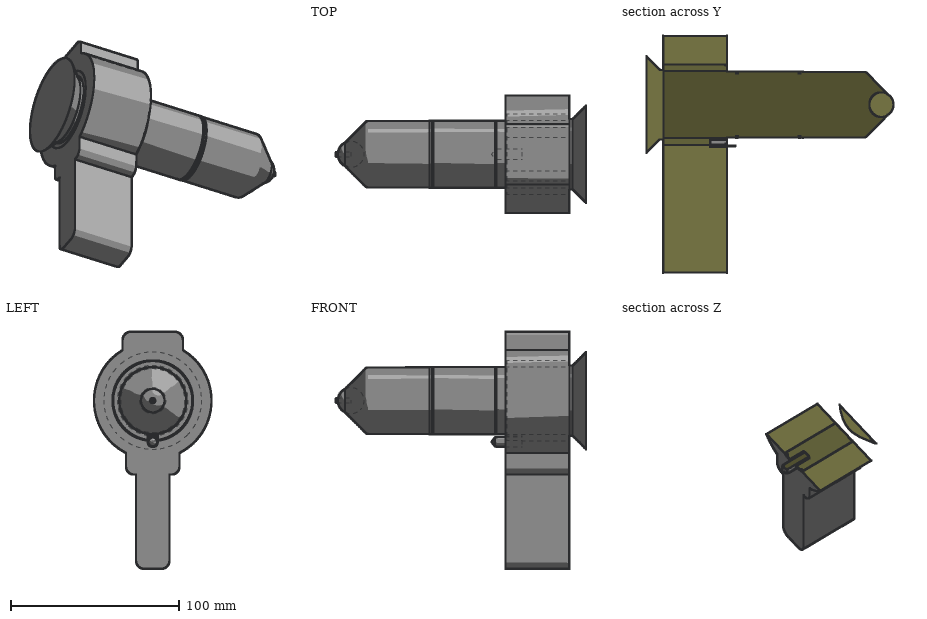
import cadquery as cq


handle_thickness = 38.0
hub_diameter = 70.0
upper_tab_width = 36.0
upper_tab_top = 41.0
lower_tab_width = 32.0
lower_tab_bottom = -44.0
lever_width = 20.0
lever_bottom = -100.0
corner_radius = 5.0
bore_diameter = 48.0

bush_front_diameter = 47.0
bush_gap_depth = 1.0

spigot_diameter = 40.0
spigot_front_diameter = 39.7
spigot_step_x = -45.0
nose_shoulder_x = -82.4
nose_shoulder_fillet = 2.0

ring_groove_diameter = 38.0
ring_width = 0.9
ring_front_positions = (-43.5, -6.2)

ball_diameter = 15.6
ball_center_x = -91.8

needle_diameter = 3.0
needle_tip_x = -101.0
needle_rear_x = ball_center_x
needle_chamfer = 0.75

pin_diameter = 6.0
pin_axis_z = -24.5
pin_tip_x = -8.2
pin_point_base_x = -6.2
pin_point_base_diameter = 5.3
pin_taper_end_x = -4.9
pin_rear_x = 10.0
pin_slot_top_z = -21.0

funnel_neck_diameter = 42.0
funnel_neck_length = 2.0
funnel_flare_length = 8.0
funnel_rim_diameter = funnel_neck_diameter + 2 * funnel_flare_length


def cylinder_x(diameter, x_start, x_end, z_axis=0.0):
    """Solid cylinder along X."""
    return (
        cq.Workplane("YZ", origin=(x_start, 0, z_axis))
        .circle(diameter / 2)
        .extrude(x_end - x_start)
    )


def block(width, z_bottom, z_top, rounded_edges):
    """Block through the handle thickness, with its lower or upper edges rounded."""
    return (
        cq.Workplane("XY", origin=(0, 0, z_bottom))
        .box(handle_thickness, width, z_top - z_bottom, centered=(False, True, False))
        .faces(rounded_edges)
        .edges("|X")
        .fillet(corner_radius)
    )


def revolve_x(profile):
    """Revolve an XY profile about the X axis."""
    return profile.close().revolve(360, (0, 0, 0), (1, 0, 0))


pin_slot = (
    cq.Workplane("XY", origin=(0, 0, pin_axis_z))
    .box(pin_rear_x, pin_diameter, pin_slot_top_z - pin_axis_z, centered=(False, True, False))
    .union(cylinder_x(pin_diameter, 0, pin_rear_x, pin_axis_z))
)

handle = (
    cylinder_x(hub_diameter, 0, handle_thickness)
    .union(block(upper_tab_width, 0, upper_tab_top, ">Z"))
    .union(block(lower_tab_width, lower_tab_bottom, 0, "<Z"))
    .union(block(lever_width, lever_bottom, 0, "<Z"))
    .cut(cylinder_x(bore_diameter, 0, handle_thickness))
    .cut(pin_slot)
)

bush = (
    cylinder_x(bush_front_diameter, 0, bush_gap_depth)
    .union(cylinder_x(bore_diameter, bush_gap_depth, handle_thickness))
    .cut(cylinder_x(spigot_diameter, 0, handle_thickness))
    .cut(pin_slot)
)

needle = (
    cylinder_x(needle_diameter, needle_tip_x, needle_rear_x)
    .faces("<X")
    .chamfer(needle_chamfer)
)

ball_sphere = cq.Workplane("XY", origin=(ball_center_x, 0, 0)).sphere(ball_diameter / 2)
ball = ball_sphere.cut(cylinder_x(needle_diameter, needle_tip_x, needle_rear_x))


def retaining_ring(front_x):
    """Flat ring that fills a groove of the spigot."""
    rear_x = front_x + ring_width
    return cylinder_x(spigot_diameter, front_x, rear_x).cut(
        cylinder_x(ring_groove_diameter, front_x, rear_x)
    )


rings = [retaining_ring(front_x) for front_x in ring_front_positions]

nose_radius = spigot_front_diameter / 2
nose_apex_x = nose_shoulder_x - nose_radius
nose_flat_x = ball_center_x - ball_diameter / 4
nose_flat_radius = nose_flat_x - nose_apex_x
nose = revolve_x(
    cq.Workplane("XY")
    .moveTo(nose_flat_x, 0)
    .lineTo(nose_flat_x, nose_flat_radius)
    .lineTo(nose_shoulder_x, nose_radius)
    .lineTo(spigot_step_x, nose_radius)
    .lineTo(spigot_step_x, 0)
)
nose = nose.faces("%CONE").edges("%CIRCLE").edges(">X").fillet(nose_shoulder_fillet)
spigot = (
    nose.union(cylinder_x(spigot_diameter, spigot_step_x, handle_thickness))
    .cut(ball_sphere)
)
for ring in rings:
    spigot = spigot.cut(ring)

index_pin = revolve_x(
    cq.Workplane("XY")
    .moveTo(pin_tip_x, 0)
    .lineTo(pin_point_base_x, pin_point_base_diameter / 2)
    .lineTo(pin_taper_end_x, pin_diameter / 2)
    .lineTo(pin_rear_x, pin_diameter / 2)
    .lineTo(pin_rear_x, 0)
).translate((0, 0, pin_axis_z))

flare_start_x = handle_thickness + funnel_neck_length
flare_end_x = flare_start_x + funnel_flare_length
funnel = revolve_x(
    cq.Workplane("XY")
    .moveTo(handle_thickness, 0)
    .lineTo(handle_thickness, funnel_neck_diameter / 2)
    .lineTo(flare_start_x, funnel_neck_diameter / 2)
    .lineTo(flare_end_x, funnel_rim_diameter / 2)
    .lineTo(flare_end_x, 0)
)

result = cq.Compound.makeCompound([
    handle.val(),
    bush.val(),
    spigot.val(),
    ball.val(),
    needle.val(),
    index_pin.val(),
    funnel.val(),
    *[ring.val() for ring in rings],
])